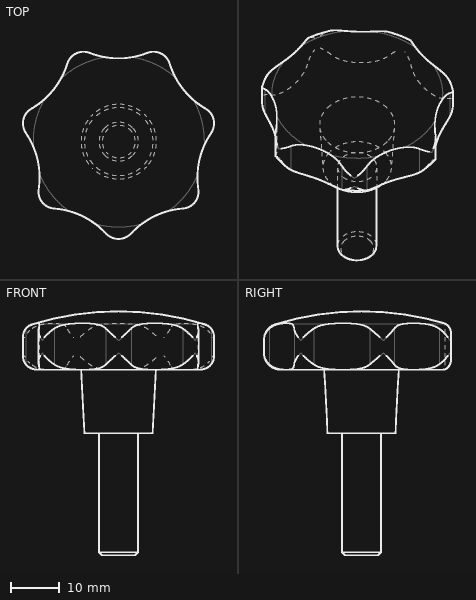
import cadquery as cq
import math

stud_length = 25.0
hub_height = 13.0
head_height = 12.0
top_z = hub_height + head_height

lobe_count = 7
head_radius = 20.0
lobe_radius = 3.5
lobe_center_distance = head_radius - lobe_radius
valley_center_distance = 33.0
first_lobe_angle = -90.0
lobe_pitch = 360.0 / lobe_count

dome_radius = 60.0
edge_radius = 3.5

hub_bottom_radius = 7.0
hub_draft_angle = 3.0
hub_top_radius = hub_bottom_radius + hub_height * math.tan(math.radians(hub_draft_angle))
stud_radius = 4.0
stud_chamfer = 0.65


def polar(distance, angle):
    """Point at a distance from the axis, at an angle in degrees from +X."""
    radians = math.radians(angle)
    return (distance * math.cos(radians), distance * math.sin(radians))


def point_toward(start, end, distance):
    """Point at a distance from start, on the line from start to end."""
    fraction = distance / math.dist(start, end)
    return (
        start[0] + fraction * (end[0] - start[0]),
        start[1] + fraction * (end[1] - start[1]),
    )


def make_lobed_prism():
    """Straight prism whose convex lobes run tangentially into concave valleys."""
    first_lobe_center = polar(lobe_center_distance, first_lobe_angle)
    first_valley_center = polar(valley_center_distance, first_lobe_angle + lobe_pitch / 2)
    valley_radius = math.dist(first_lobe_center, first_valley_center) - lobe_radius
    valley_bottom_distance = valley_center_distance - valley_radius

    def lobe_end(lobe_angle, side):
        """Tangent point of a lobe with the valley after (+1) or before (-1) it."""
        lobe_center = polar(lobe_center_distance, lobe_angle)
        valley_center = polar(valley_center_distance, lobe_angle + side * lobe_pitch / 2)
        return point_toward(lobe_center, valley_center, lobe_radius)

    outline = cq.Workplane("XY", origin=(0, 0, hub_height)).moveTo(*lobe_end(first_lobe_angle, -1))
    for index in range(lobe_count):
        lobe_angle = first_lobe_angle + index * lobe_pitch
        lobe_tip = polar(head_radius, lobe_angle)
        valley_bottom = polar(valley_bottom_distance, lobe_angle + lobe_pitch / 2)
        outline = outline.threePointArc(lobe_tip, lobe_end(lobe_angle, 1))
        outline = outline.threePointArc(valley_bottom, lobe_end(lobe_angle + lobe_pitch, -1))
    return outline.close().extrude(head_height)


def make_domed_disc():
    """Round disc with a spherical top and rounded upper and lower edges."""
    dome_center = (0, top_z - dome_radius)
    edge_center_radius = head_radius - edge_radius
    edge_center_offset = math.sqrt((dome_radius - edge_radius) ** 2 - edge_center_radius**2)
    upper_edge_center = (edge_center_radius, dome_center[1] + edge_center_offset)
    dome_end = point_toward(dome_center, upper_edge_center, dome_radius)
    lower_edge_top_z = hub_height + edge_radius

    profile = (
        cq.Workplane("XZ")
        .moveTo(0, hub_height)
        .lineTo(edge_center_radius, hub_height)
        .radiusArc((head_radius, lower_edge_top_z), -edge_radius)
        .lineTo(head_radius, upper_edge_center[1])
        .radiusArc(dome_end, -edge_radius)
        .radiusArc((0, top_z), -dome_radius)
        .close()
    )
    return profile.revolve(360, (0, 0, 0), (0, 1, 0))


def make_hub():
    """Cone that widens upward to the head."""
    profile = cq.Workplane("XZ").polyline(
        [(0, 0), (hub_bottom_radius, 0), (hub_top_radius, hub_height), (0, hub_height)]
    )
    return profile.close().revolve(360, (0, 0, 0), (0, 1, 0))


def make_stud():
    """Plain cylindrical stud with a chamfered free end."""
    stud = cq.Workplane("XY").circle(stud_radius).extrude(-stud_length)
    return stud.faces("<Z").chamfer(stud_chamfer)


head = make_domed_disc().intersect(make_lobed_prism())
result = head.union(make_hub()).union(make_stud())